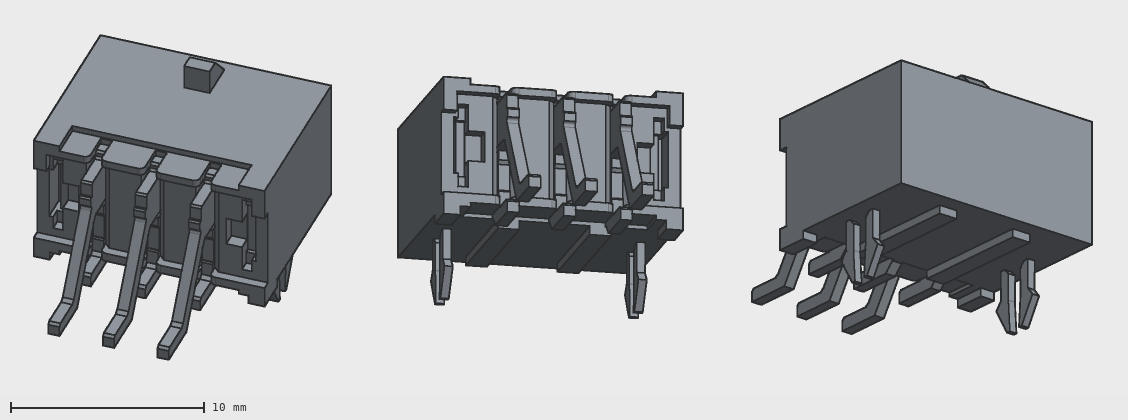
import cadquery as cq


WIDTH = 12.7
DEPTH = 9.89
TOP_Z = 7.44
BASE_Z = 0.54
FOOT_Z = 0.072
half_width = WIDTH / 2

REAR_FACE_Y = 0.51
TOP_FLANGE_Z = 6.71
BOTTOM_FLANGE_Z = 1.25
CORNER_Z = 5.68
CORNER_INNER_X = 5.65

STEP_HALF_WIDTH = 4.93
STEP_DEPTH_Y = 1.91
TOP_STEP_Z = 7.12
BOTTOM_STEP_Z = 0.76

FOOT_INNER_X = 5.47
RAIL_INNER_X = 1.88
RAIL_WIDTH = 1.11
RAIL_END_Y = 8.92

LATCH_WIDTH = 1.4
LATCH_HEIGHT = 1.37
LATCH_REAR_Y = 7.08
LATCH_CREST_Y = 7.9
LATCH_FRONT_Y = 9.27

CONTACT_PITCH = 3.0
CONTACT_WIDTH = 0.62
SLOT_END_Y = 1.8
SLOT_EDGE = 0.32
EMBED_Y = 2.23
LEAD_THICKNESS = 0.72
TIP_CHAMFER = 0.15
contact_xs = [-CONTACT_PITCH, 0, CONTACT_PITCH]

HEAD_TOP_Z = 6.44
HEAD_BOTTOM_Z = 4.1
HEAD_REAR_Y = -1.2
HEAD_CHAMFER = 0.11
BARB_FRONT_Y = 1.69
BARB_REAR_Y = 1.0
BARB_TOP_Z = 6.87
BARB_CHAMFER = 0.13
NOSE_REAR_Y = -1.42
NOSE_TOP_Z = 5.61
NOSE_BOTTOM_Z = 5.09
NOSE_CHAMFER = 0.1

HOLLOW_MIDDLE = (-1.25, 4.93)
LEG_TOP_OUTER = (-1.3, 4.8)
LEG_FOOT_OUTER = (-3.88, 0.87)
LEG_FOOT_END_Y = -4.12
LEAD_TIP_Y = -6.01
LEG_HEEL_Y = -3.37
LEG_TOP_INNER = (-0.81, 3.96)
INNER_BEND_MIDDLE = (-0.7, 4.05)
INNER_BEND_END_Y = -0.54

TAIL_TIP_Y = -1.37
TAIL_HEEL_Y = 1.22
TAIL_BEND_Y = 0.24
TAIL_BEND_Z = 0.16
LEDGE_Z = 1.72
LEDGE_CHAMFER = 0.08
STEM_REAR_Y = 0.64
STEM_TOP_Z = 3.12
STEM_HEAD_BOTTOM_Z = 3.32
STEM_HEAD_TOP_Z = 3.83

POCKET_MID_Z = 3.96
POCKET_INNER_X = 4.93
POCKET_WIDTH = 0.76
POCKET_HEIGHT = 3.0
POCKET_DEPTH_Y = 1.91
POCKET_END_WIDTH = 0.54
POCKET_END_HEIGHT = 4.42
POCKET_END_Y = 1.11
LUG_WINDOW_WIDTH = 0.87
LUG_WINDOW_HEIGHT = 1.6
LUG_WINDOW_Y = 1.27

CLIP_THICKNESS = 0.45
CLIP_FRONT_Y = 1.35

PEG_MID_Y = 5.3
PEG_NECK_Y = 0.8
PEG_OUTER_Y = 1.1
PEG_INNER_Y = 0.5
PEG_BARB_Y = 1.48
PEG_TIP_OUTER_Y = 0.6
PEG_TIP_INNER_Y = 0.37
PEG_ROOT_Z = 1.27
PEG_FLARE_Z = 0.24
PEG_SHOULDER_Z = -1.1
PEG_TAPER_Z = -1.25
PEG_BARB_Z = -1.57
PEG_TIP_Z = -3.05


def box(x_range, y_range, z_range):
    """Box between the given limits on each axis."""
    lower, upper = zip(x_range, y_range, z_range)
    size = [b - a for a, b in zip(lower, upper)]
    return cq.Workplane("XY").box(*size, centered=False).translate(lower)


def mirrored_box(x_range, y_range, z_range):
    """Pair of boxes, one on each side of the plane of symmetry."""
    one_side = box(x_range, y_range, z_range)
    return one_side.union(one_side.mirror("YZ"))


def plate(side_outline, x_start, thickness):
    """Closed YZ outline thickened along +X from x_start."""
    return side_outline.extrude(thickness).translate((x_start, 0, 0))


def make_housing():
    body = box((-half_width, half_width), (0, DEPTH), (BASE_Z, TOP_Z))
    feet = mirrored_box((FOOT_INNER_X, half_width), (0, STEP_DEPTH_Y), (FOOT_Z, BASE_Z))
    rails = mirrored_box(
        (RAIL_INNER_X, RAIL_INNER_X + RAIL_WIDTH), (STEP_DEPTH_Y, RAIL_END_Y), (FOOT_Z, BASE_Z)
    )
    step_x = (-STEP_HALF_WIDTH, STEP_HALF_WIDTH)
    top_step = box(step_x, (0, STEP_DEPTH_Y), (TOP_STEP_Z, TOP_Z))
    bottom_step = box(step_x, (0, STEP_DEPTH_Y), (BASE_Z, BOTTOM_STEP_Z))

    recess_y = (0, REAR_FACE_Y)
    recess = box((-half_width, half_width), recess_y, (BOTTOM_FLANGE_Z, CORNER_Z)).union(
        box((-CORNER_INNER_X, CORNER_INNER_X), recess_y, (CORNER_Z, TOP_FLANGE_Z))
    )
    return body.union(feet).union(rails).cut(top_step).cut(bottom_step).cut(recess)


def slot_prism(rear_y, z_range, rounded):
    """Part of a slot whose mouth at rear_y is widened by a round or by a chamfer."""
    inner_x = CONTACT_WIDTH / 2
    outer_x = inner_x + SLOT_EDGE
    edge_y = rear_y + SLOT_EDGE

    def mouth_edge(outline, end):
        if rounded:
            return outline.radiusArc(end, -SLOT_EDGE)
        return outline.lineTo(*end)

    outline = cq.Workplane("XY").moveTo(-outer_x, rear_y)
    outline = mouth_edge(outline, (-inner_x, edge_y))
    outline = outline.lineTo(-inner_x, SLOT_END_Y).lineTo(inner_x, SLOT_END_Y).lineTo(inner_x, edge_y)
    outline = mouth_edge(outline, (outer_x, rear_y)).close()
    bottom_z, top_z = z_range
    return outline.extrude(top_z - bottom_z).translate((0, 0, bottom_z))


def make_slot():
    """Slot for one contact pair: chamfered in the rear face, rounded through both flanges."""
    middle = slot_prism(REAR_FACE_Y, (BOTTOM_FLANGE_Z, TOP_FLANGE_Z), rounded=False)
    top = slot_prism(0, (TOP_FLANGE_Z, TOP_Z), rounded=True)
    bottom = slot_prism(0, (BASE_Z, BOTTOM_FLANGE_Z), rounded=True)
    return middle.union(top).union(bottom)


def make_latch():
    outline = cq.Workplane("YZ").polyline(
        [
            (LATCH_REAR_Y, TOP_Z),
            (LATCH_REAR_Y, TOP_Z + LATCH_HEIGHT),
            (LATCH_CREST_Y, TOP_Z + LATCH_HEIGHT),
            (LATCH_FRONT_Y, TOP_Z),
        ]
    ).close()
    return plate(outline, -LATCH_WIDTH / 2, LATCH_WIDTH)


def upper_contact_outline():
    """Barbed shoulder, head with a small nose, slanted leg and flat solder tail."""
    return (
        cq.Workplane("YZ")
        .moveTo(EMBED_Y, HEAD_BOTTOM_Z)
        .lineTo(EMBED_Y, HEAD_TOP_Z)
        .lineTo(BARB_FRONT_Y, HEAD_TOP_Z)
        .lineTo(BARB_FRONT_Y, BARB_TOP_Z)
        .lineTo(BARB_REAR_Y + BARB_CHAMFER, BARB_TOP_Z)
        .lineTo(BARB_REAR_Y, BARB_TOP_Z - BARB_CHAMFER)
        .lineTo(BARB_REAR_Y, HEAD_TOP_Z + BARB_CHAMFER)
        .lineTo(BARB_REAR_Y - BARB_CHAMFER, HEAD_TOP_Z)
        .lineTo(HEAD_REAR_Y + HEAD_CHAMFER, HEAD_TOP_Z)
        .lineTo(HEAD_REAR_Y, HEAD_TOP_Z - HEAD_CHAMFER)
        .lineTo(HEAD_REAR_Y, NOSE_TOP_Z)
        .lineTo(NOSE_REAR_Y + NOSE_CHAMFER, NOSE_TOP_Z)
        .lineTo(NOSE_REAR_Y, NOSE_TOP_Z - NOSE_CHAMFER)
        .lineTo(NOSE_REAR_Y, NOSE_BOTTOM_Z)
        .threePointArc(HOLLOW_MIDDLE, LEG_TOP_OUTER)
        .lineTo(*LEG_FOOT_OUTER)
        .lineTo(LEG_FOOT_END_Y, LEAD_THICKNESS)
        .lineTo(LEAD_TIP_Y + TIP_CHAMFER, LEAD_THICKNESS)
        .lineTo(LEAD_TIP_Y, LEAD_THICKNESS - TIP_CHAMFER)
        .lineTo(LEAD_TIP_Y, 0)
        .lineTo(LEG_HEEL_Y, 0)
        .lineTo(*LEG_TOP_INNER)
        .threePointArc(INNER_BEND_MIDDLE, (INNER_BEND_END_Y, HEAD_BOTTOM_Z))
        .close()
    )


def lower_contact_outline():
    """Upright stem with an overhanging head and a ledge, standing on a straight solder tail."""
    return (
        cq.Workplane("YZ")
        .moveTo(TAIL_TIP_Y, 0)
        .lineTo(TAIL_TIP_Y, LEAD_THICKNESS - TIP_CHAMFER)
        .lineTo(TAIL_TIP_Y + TIP_CHAMFER, LEAD_THICKNESS)
        .lineTo(REAR_FACE_Y - TAIL_BEND_Y, LEAD_THICKNESS)
        .lineTo(REAR_FACE_Y, LEAD_THICKNESS + TAIL_BEND_Z)
        .lineTo(REAR_FACE_Y, LEDGE_Z - LEDGE_CHAMFER)
        .lineTo(REAR_FACE_Y + LEDGE_CHAMFER, LEDGE_Z)
        .lineTo(STEM_REAR_Y, LEDGE_Z)
        .lineTo(STEM_REAR_Y, STEM_TOP_Z)
        .lineTo(REAR_FACE_Y, STEM_HEAD_BOTTOM_Z)
        .lineTo(REAR_FACE_Y, STEM_HEAD_TOP_Z)
        .lineTo(EMBED_Y, STEM_HEAD_TOP_Z)
        .lineTo(EMBED_Y, BASE_Z)
        .lineTo(TAIL_HEEL_Y + BASE_Z, BASE_Z)
        .lineTo(TAIL_HEEL_Y, 0)
        .close()
    )


def make_contact_pair():
    left_x = -CONTACT_WIDTH / 2
    upper = plate(upper_contact_outline(), left_x, CONTACT_WIDTH)
    lower = plate(lower_contact_outline(), left_x, CONTACT_WIDTH)
    return upper.union(lower)


def make_clip_pocket():
    """Stepped pocket on the +X side, with a window towards the middle of the housing."""

    def centred_cut(x_start, width, height, end_y):
        z_range = (POCKET_MID_Z - height / 2, POCKET_MID_Z + height / 2)
        return box((x_start, x_start + width), (REAR_FACE_Y, end_y), z_range)

    deep = centred_cut(POCKET_INNER_X, POCKET_WIDTH, POCKET_HEIGHT, POCKET_DEPTH_Y)
    ends = centred_cut(POCKET_INNER_X, POCKET_END_WIDTH, POCKET_END_HEIGHT, POCKET_END_Y)
    window_x = POCKET_INNER_X - LUG_WINDOW_WIDTH
    window = centred_cut(window_x, LUG_WINDOW_WIDTH, LUG_WINDOW_HEIGHT, LUG_WINDOW_Y)
    return deep.union(ends).union(window)


def peg_outline(side):
    """One snap leg of the split peg; side is +1 or -1 along Y from the peg centre."""
    offsets = [
        (PEG_NECK_Y, PEG_ROOT_Z),
        (PEG_OUTER_Y, PEG_ROOT_Z),
        (PEG_OUTER_Y, PEG_SHOULDER_Z),
        (PEG_BARB_Y, PEG_BARB_Z),
        (PEG_TIP_OUTER_Y, PEG_TIP_Z),
        (PEG_TIP_INNER_Y, PEG_TIP_Z),
        (PEG_INNER_Y, PEG_TAPER_Z),
        (PEG_INNER_Y, PEG_FLARE_Z),
        (PEG_NECK_Y, BASE_Z),
    ]
    return cq.Workplane("YZ").polyline([(PEG_MID_Y + side * y, z) for y, z in offsets]).close()


def make_clip():
    """Retention clip on the +X side: plate end inside the pocket and two snap legs below."""
    plate_z = (POCKET_MID_Z - POCKET_HEIGHT / 2, POCKET_MID_Z + POCKET_HEIGHT / 2)
    plate_x = (POCKET_INNER_X, POCKET_INNER_X + CLIP_THICKNESS)
    clip = box(plate_x, (CLIP_FRONT_Y, POCKET_DEPTH_Y), plate_z)
    for side in (1, -1):
        clip = clip.union(plate(peg_outline(side), POCKET_INNER_X, CLIP_THICKNESS))
    return clip


result = make_housing().union(make_latch())

slot = make_slot()
contact_pair = make_contact_pair()
for x in contact_xs:
    result = result.cut(slot.translate((x, 0, 0))).union(contact_pair.translate((x, 0, 0)))

pocket = make_clip_pocket()
clip = make_clip()
result = result.cut(pocket).cut(pocket.mirror("YZ"))
result = result.union(clip).union(clip.mirror("YZ"))